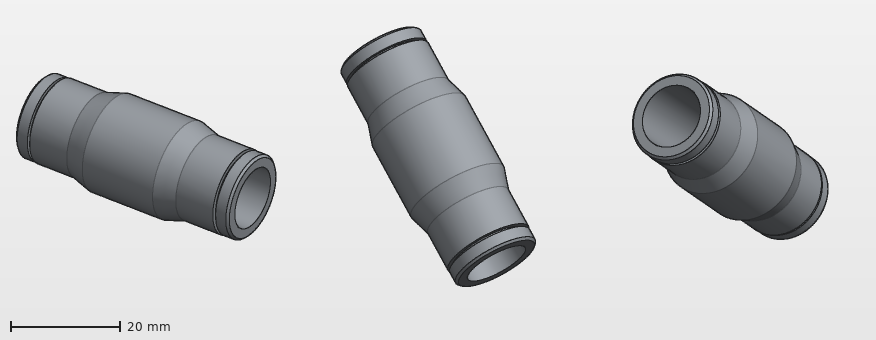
import cadquery as cq

length = 46.5
body_diameter = 19.4
sleeve_diameter = 16.85
collar_diameter = 16.65
groove_diameter = 14.95
bore_diameter = 12.0

collar_length = 2.7
groove_width = 0.55
sleeve_length = 8.1
body_length = 15.35
chamfer_length = 0.45
chamfer_depth = 0.45

half_length = length / 2
half_body = body_length / 2
collar_start = half_length - collar_length
groove_start = collar_start - groove_width
sleeve_start = groove_start - sleeve_length

body_radius = body_diameter / 2
sleeve_radius = sleeve_diameter / 2
collar_radius = collar_diameter / 2
groove_radius = groove_diameter / 2

half_profile = [
    (half_body, body_radius),
    (sleeve_start, sleeve_radius),
    (groove_start, sleeve_radius),
    (groove_start, groove_radius),
    (collar_start, groove_radius),
    (collar_start, collar_radius),
    (half_length - chamfer_length, collar_radius),
    (half_length, collar_radius - chamfer_depth),
    (half_length, 0),
]
mirrored_profile = [(-x, radius) for x, radius in reversed(half_profile)]

outer = (
    cq.Workplane("XY")
    .polyline(mirrored_profile + half_profile)
    .close()
    .revolve(360, (0, 0, 0), (1, 0, 0))
)

bore = cq.Workplane("YZ").circle(bore_diameter / 2).extrude(half_length, both=True)

result = outer.cut(bore)